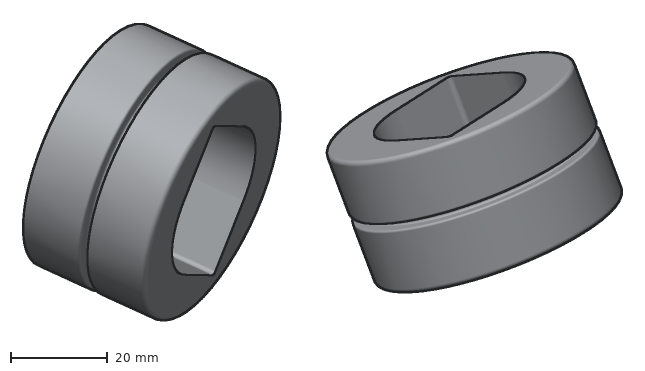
import cadquery as cq
import math

outer_radius = 27.25
width = 30.0
edge_radius = 1.0

groove_width = 1.5
groove_depth = 3.0
groove_edge_radius = 0.5

bore_radius = 16.6
flank_angle = 45.0
tip_radius = 1.0


def make_ring():
    """Solid disc with rounded outer rims, centred on the origin."""
    disc = cq.Workplane("YZ").circle(outer_radius).extrude(width / 2, both=True)
    return disc.edges("%CIRCLE").fillet(edge_radius)


def make_groove_cutter():
    """Revolved groove profile with rounded floor corners and flared mouth."""
    half_width = groove_width / 2
    floor_half_width = half_width - groove_edge_radius
    mouth_half_width = half_width + groove_edge_radius
    floor_radius = outer_radius - groove_depth
    r = groove_edge_radius
    profile = (
        cq.Workplane("XY")
        .moveTo(-floor_half_width, floor_radius)
        .lineTo(floor_half_width, floor_radius)
        .radiusArc((half_width, floor_radius + r), -r)
        .lineTo(half_width, outer_radius - r)
        .radiusArc((mouth_half_width, outer_radius), r)
        .lineTo(-mouth_half_width, outer_radius)
        .radiusArc((-half_width, outer_radius - r), r)
        .lineTo(-half_width, floor_radius + r)
        .radiusArc((-floor_half_width, floor_radius), -r)
        .close()
    )
    return profile.revolve(360, (0, 0, 0), (1, 0, 0))


def make_bore_cutter():
    """Through bore, pointed toward +Z and -Z with rounded tips."""
    angle = math.radians(flank_angle)
    tangent_y = bore_radius * math.cos(angle)
    tangent_z = bore_radius * math.sin(angle)
    tip_centre_z = (bore_radius - tip_radius) / math.sin(angle)
    tip_y = tip_radius * math.cos(angle)
    tip_z = tip_centre_z + tip_radius * math.sin(angle)
    tip_height = tip_centre_z + tip_radius
    outline = (
        cq.Workplane("YZ")
        .moveTo(tangent_y, -tangent_z)
        .threePointArc((bore_radius, 0), (tangent_y, tangent_z))
        .lineTo(tip_y, tip_z)
        .threePointArc((0, tip_height), (-tip_y, tip_z))
        .lineTo(-tangent_y, tangent_z)
        .threePointArc((-bore_radius, 0), (-tangent_y, -tangent_z))
        .lineTo(-tip_y, -tip_z)
        .threePointArc((0, -tip_height), (tip_y, -tip_z))
        .close()
    )
    return outline.extrude(width, both=True)


result = make_ring().cut(make_groove_cutter()).cut(make_bore_cutter())